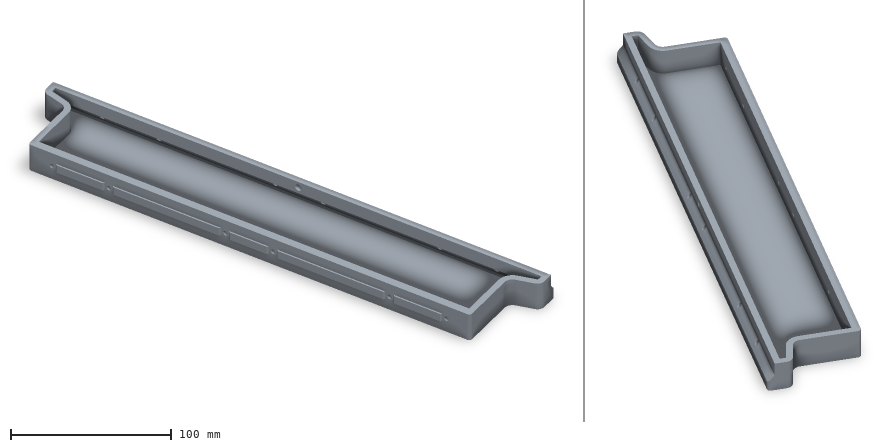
import cadquery as cq
import math

LENGTH = 366.2
HEIGHT = 20.0
DEPTH = 66.0
BASE_THICKNESS = 1.0

HALF_BODY = 162.5
WING_ROOT_Y = 44.3
WING_ANGLE = 15.0
FRONT_CORNER_R = 2.2
BACK_CORNER_R = 2.2
WING_ROOT_R = 6.0
WING_TIP_R = 5.0

WALL = 4.5
FRONT_WALL = 5.5
FLOOR_Z = 3.0

LIP_REACH = 4.5
LIP_TOP_Z = 11.5
LIP_EDGE_Z = 6.2
HOLLOW_EDGE_Z = 5.0

HOLE_DIAMETER = 3.3
HOLE_Z = HEIGHT / 2
HOLE_DISTANCES = [17.5, 103.3, 145.0]
PANEL_HEIGHT = 6.0
PANEL_RAISE = 1.0
PANEL_GAP = 3.0

SCREW_DIAMETER = 3.4
SCREW_HEAD_DIAMETER = 4.8
SCREW_HEAD_DEPTH = 1.0
SCREW_Z = 15.7

HALF_LENGTH = LENGTH / 2
WING_SLOPE = math.tan(math.radians(WING_ANGLE))
WING_TIP_Y = WING_ROOT_Y + (HALF_LENGTH - HALF_BODY) * WING_SLOPE
BACK_FACE_Y = DEPTH - LIP_REACH
BACK_INNER_Y = BACK_FACE_Y - WALL
HOLE_XS = sorted([-x for x in HOLE_DISTANCES] + HOLE_DISTANCES)
OVERSHOOT = 3.5
PICK = 0.5


def mirrored_prism(right_half, bottom, top):
    """Upright prism whose plan is the right half and its mirror image."""
    left_half = [(-x, y) for x, y in reversed(right_half)]
    plan = cq.Workplane("XY", origin=(0, 0, bottom)).polyline(right_half + left_half).close()
    return plan.extrude(top - bottom)


def round_upright_edges(body, x, y, radius):
    """Round the upright edges at (x, y) and (-x, y)."""
    for side in (-1, 1):
        low = (side * x - PICK, y - PICK, -HEIGHT)
        high = (side * x + PICK, y + PICK, 2 * HEIGHT)
        body = body.edges(cq.selectors.BoxSelector(low, high)).fillet(radius)
    return body


def lengthwise_prism(profile):
    """Prism along X, over the full length, from a list of (Y, Z) points."""
    return cq.Workplane("YZ").polyline(profile).close().extrude(HALF_LENGTH, both=True)


def outline_block(bottom, top):
    """Solid block with the rounded plan outline."""
    right_half = [
        (HALF_BODY, 0),
        (HALF_BODY, WING_ROOT_Y),
        (HALF_LENGTH, WING_TIP_Y),
        (HALF_LENGTH, DEPTH),
    ]
    block = mirrored_prism(right_half, bottom, top)
    block = round_upright_edges(block, HALF_BODY, 0, FRONT_CORNER_R)
    block = round_upright_edges(block, HALF_BODY, WING_ROOT_Y, WING_ROOT_R)
    block = round_upright_edges(block, HALF_LENGTH, WING_TIP_Y, WING_TIP_R)
    return round_upright_edges(block, HALF_LENGTH, DEPTH, BACK_CORNER_R)


def space_above_lip():
    """Cutter that leaves the sloped lip standing behind the back wall."""
    return lengthwise_prism([
        (BACK_FACE_Y, LIP_TOP_Z),
        (DEPTH, LIP_EDGE_Z),
        (DEPTH + OVERSHOOT, LIP_EDGE_Z),
        (DEPTH + OVERSHOOT, HEIGHT + OVERSHOOT),
        (BACK_FACE_Y, HEIGHT + OVERSHOOT),
    ])


def cavity():
    """Inside of the tray: the outline moved in by the walls, widened below into the lip."""
    inner_half_body = HALF_BODY - WALL
    inner_half_length = HALF_LENGTH - WALL
    root_y = WING_ROOT_Y + WALL / math.cos(math.radians(WING_ANGLE)) - WALL * WING_SLOPE
    tip_y = root_y + (inner_half_length - inner_half_body) * WING_SLOPE
    right_half = [
        (inner_half_body, FRONT_WALL),
        (inner_half_body, root_y),
        (inner_half_length, tip_y),
        (inner_half_length, DEPTH),
    ]
    space = mirrored_prism(right_half, FLOOR_Z, HEIGHT + OVERSHOOT)
    space = round_upright_edges(space, inner_half_body, root_y, WING_ROOT_R + WALL)
    section = lengthwise_prism([
        (0, FLOOR_Z),
        (BACK_INNER_Y + LIP_REACH, FLOOR_Z),
        (BACK_INNER_Y + LIP_REACH, HOLLOW_EDGE_Z),
        (BACK_INNER_Y, LIP_TOP_Z),
        (BACK_INNER_Y, HEIGHT + OVERSHOOT),
        (0, HEIGHT + OVERSHOOT),
    ])
    return space.intersect(section)


def front_panel(left_hole_x, right_hole_x):
    """Raised panel between two holes, with 45 degree ends."""
    left = left_hole_x + PANEL_GAP
    right = right_hole_x - PANEL_GAP
    plan = [
        (left, 0),
        (left + PANEL_RAISE, -PANEL_RAISE),
        (right - PANEL_RAISE, -PANEL_RAISE),
        (right, 0),
    ]
    panel = cq.Workplane("XY", origin=(0, 0, HOLE_Z)).polyline(plan).close()
    return panel.extrude(PANEL_HEIGHT / 2, both=True)


def through_holes():
    """Cutters for the row of holes through the front and back walls."""
    start = cq.Workplane("XZ", origin=(0, -OVERSHOOT, HOLE_Z))
    circles = start.pushPoints([(x, 0) for x in HOLE_XS]).circle(HOLE_DIAMETER / 2)
    return circles.extrude(-(DEPTH + 2 * OVERSHOOT))


def screw_hole():
    """Cutter for the hole in the back wall, countersunk from inside the tray."""
    start = cq.Workplane("XZ", origin=(0, BACK_INNER_Y, SCREW_Z))
    shank = start.circle(SCREW_DIAMETER / 2).extrude(-(WALL + OVERSHOOT))
    rim = start.circle(SCREW_HEAD_DIAMETER / 2)
    head = rim.workplane(offset=-SCREW_HEAD_DEPTH).circle(SCREW_DIAMETER / 2).loft()
    return shank.union(head)


def make_tray():
    body = outline_block(BASE_THICKNESS, HEIGHT).cut(space_above_lip()).cut(cavity())
    for left_hole_x, right_hole_x in zip(HOLE_XS, HOLE_XS[1:]):
        body = body.union(front_panel(left_hole_x, right_hole_x))
    return body.cut(through_holes()).cut(screw_hole())


def make_base_plate():
    return outline_block(0, BASE_THICKNESS)


tray = make_tray()
base_plate = make_base_plate()

result = cq.Compound.makeCompound([tray.solids().val(), base_plate.solids().val()])